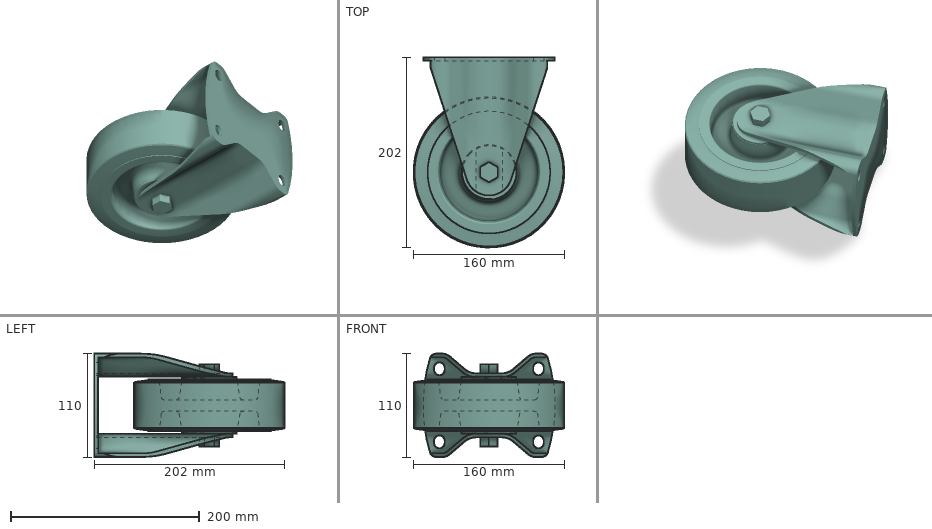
import cadquery as cq
import math

WHEEL_RADIUS = 80.0
TREAD_HALF_WIDTH = 23.7
TREAD_CHAMFER = 1.2
SHOULDER_HALF_WIDTH = 26.7
SHOULDER_LEDGE = 0.5
RIM_RADIUS = 65.0
RIM_HALF_WIDTH = 27.5
RECESS_RADIUS = 53.5
RECESS_LIP_ROUND = 2.0
WALL_FOOT_RADIUS = 51.5
FLOOR_RADIUS = 47.7
WEB_HALF_WIDTH = 6.0
HUB_RADIUS = 29.2
HUB_FOOT_RADIUS = 32.0
HUB_FLOOR_RADIUS = 36.0
HUB_EDGE_ROUND = 0.8

SHEET_THICKNESS = 4.0
FORK_HALF_HEIGHT = 55.0
VALLEY_OUTER_HEIGHT = 34.1
VALLEY_HALF_WIDTH = 14.0
VALLEY_BEND_RADIUS = 18.0
CREST_BEND_RADIUS = 13.0
BEND_ANGLE = math.radians(40.5)
ARM_HALF_WIDTH = 62.4
ARM_TIP_RADIUS = 24.7
ARM_TAPER_START = 112.0

PLATE_FACE = 122.0
PLATE_HALF_WIDTH = 70.0
PLATE_CORNER_HEIGHT = 50.4
PLATE_TOP_HALF_WIDTH = 55.2
SLOT_WIDTH = 11.0
SLOT_LENGTH = 13.5
SLOT_X = 52.5
SLOT_Z = 38.75

BOLT_ACROSS_FLATS = 18.6
BOLT_HALF_LENGTH = 43.7

HUB_HALF_LENGTH = VALLEY_OUTER_HEIGHT - SHEET_THICKNESS


def make_wheel_blank():
    """Tyre, rim and hub as one turned body, before the side recesses."""
    upper = [
        (0, HUB_HALF_LENGTH),
        (HUB_RADIUS, HUB_HALF_LENGTH),
        (HUB_RADIUS, RIM_HALF_WIDTH),
        (RIM_RADIUS, RIM_HALF_WIDTH),
        (RIM_RADIUS, SHOULDER_HALF_WIDTH),
        (RIM_RADIUS + SHOULDER_LEDGE, SHOULDER_HALF_WIDTH),
        (WHEEL_RADIUS - TREAD_CHAMFER, TREAD_HALF_WIDTH + TREAD_CHAMFER),
        (WHEEL_RADIUS, TREAD_HALF_WIDTH),
    ]
    lower = [(radius, -height) for radius, height in reversed(upper)]
    blank = cq.Workplane("XZ").polyline(upper + lower).close().revolve(360, (0, 0), (0, 1))
    return blank.faces("<Z or >Z").edges().fillet(HUB_EDGE_ROUND)


def make_side_recess():
    """Ring-shaped recess between rim and hub on the upper side of the wheel."""
    wall_fillet = WALL_FOOT_RADIUS - FLOOR_RADIUS
    hub_fillet = HUB_FLOOR_RADIUS - HUB_FOOT_RADIUS
    hub_wall_top = HUB_HALF_LENGTH - HUB_EDGE_ROUND
    return (
        cq.Workplane("XZ")
        .moveTo(HUB_RADIUS, hub_wall_top)
        .lineTo(RECESS_RADIUS + RECESS_LIP_ROUND, hub_wall_top)
        .lineTo(RECESS_RADIUS + RECESS_LIP_ROUND, RIM_HALF_WIDTH)
        .radiusArc((RECESS_RADIUS, RIM_HALF_WIDTH - RECESS_LIP_ROUND), -RECESS_LIP_ROUND)
        .lineTo(WALL_FOOT_RADIUS, WEB_HALF_WIDTH + wall_fillet)
        .radiusArc((FLOOR_RADIUS, WEB_HALF_WIDTH), wall_fillet)
        .lineTo(HUB_FLOOR_RADIUS, WEB_HALF_WIDTH)
        .radiusArc((HUB_FOOT_RADIUS, WEB_HALF_WIDTH + hub_fillet), hub_fillet)
        .close()
        .revolve(360, (0, 0), (0, 1))
    )


def make_wheel():
    """Wheel with the same recess on both sides."""
    recess = make_side_recess()
    return make_wheel_blank().cut(recess).cut(recess.mirror("XY"))


def make_bent_block(inset):
    """Solid between the upper and lower bent sheet faces, each moved inward by inset."""
    valley_radius = VALLEY_BEND_RADIUS + inset
    crest_radius = CREST_BEND_RADIUS - inset
    valley_z = VALLEY_OUTER_HEIGHT - inset
    crest_z = FORK_HALF_HEIGHT - inset
    sine = math.sin(BEND_ANGLE)
    bend_rise = 1 - math.cos(BEND_ANGLE)
    bend_rise_total = (valley_radius + crest_radius) * bend_rise
    flank_run = (crest_z - valley_z - bend_rise_total) / math.tan(BEND_ANGLE)

    valley_end_x = VALLEY_HALF_WIDTH + valley_radius * sine
    valley_end_z = valley_z + valley_radius * bend_rise
    crest_start_x = valley_end_x + flank_run
    crest_start_z = crest_z - crest_radius * bend_rise
    crest_end_x = crest_start_x + crest_radius * sine

    quarter = (
        cq.Workplane("XZ", origin=(0, PLATE_FACE, 0))
        .lineTo(0, valley_z)
        .lineTo(VALLEY_HALF_WIDTH, valley_z)
        .radiusArc((valley_end_x, valley_end_z), -valley_radius)
        .lineTo(crest_start_x, crest_start_z)
        .radiusArc((crest_end_x, crest_z), crest_radius)
        .lineTo(PLATE_HALF_WIDTH, crest_z)
        .lineTo(PLATE_HALF_WIDTH, 0)
        .close()
        .extrude(PLATE_FACE + ARM_TIP_RADIUS)
    )
    half = quarter.union(quarter.mirror("YZ"))
    return half.union(half.mirror("XY"))


def make_end_outline():
    """Prism along Y with bulging sides and rounded corners that bounds plate and fork."""
    top = FORK_HALF_HEIGHT
    drop = top - PLATE_CORNER_HEIGHT
    run = ARM_HALF_WIDTH - PLATE_TOP_HALF_WIDTH
    corner_radius = (run**2 + drop**2) / (2 * drop)
    return (
        cq.Workplane("XZ", origin=(0, PLATE_FACE, 0))
        .moveTo(-PLATE_TOP_HALF_WIDTH, top)
        .lineTo(PLATE_TOP_HALF_WIDTH, top)
        .radiusArc((ARM_HALF_WIDTH, PLATE_CORNER_HEIGHT), corner_radius)
        .threePointArc((PLATE_HALF_WIDTH, 0), (ARM_HALF_WIDTH, -PLATE_CORNER_HEIGHT))
        .radiusArc((PLATE_TOP_HALF_WIDTH, -top), corner_radius)
        .lineTo(-PLATE_TOP_HALF_WIDTH, -top)
        .radiusArc((-ARM_HALF_WIDTH, -PLATE_CORNER_HEIGHT), corner_radius)
        .threePointArc((-PLATE_HALF_WIDTH, 0), (-ARM_HALF_WIDTH, PLATE_CORNER_HEIGHT))
        .radiusArc((-PLATE_TOP_HALF_WIDTH, top), corner_radius)
        .close()
        .extrude(PLATE_FACE + ARM_TIP_RADIUS)
    )


def make_arm_outline():
    """Prism along Z: parallel sides at the plate, then tapering tangent to the round tip."""
    corner_distance = math.hypot(ARM_HALF_WIDTH, ARM_TAPER_START)
    corner_angle = math.atan2(ARM_TAPER_START, ARM_HALF_WIDTH)
    tangent_angle = corner_angle - math.acos(ARM_TIP_RADIUS / corner_distance)
    tangent_x = ARM_TIP_RADIUS * math.cos(tangent_angle)
    tangent_y = ARM_TIP_RADIUS * math.sin(tangent_angle)
    return (
        cq.Workplane("XY", origin=(0, 0, -FORK_HALF_HEIGHT))
        .moveTo(-ARM_HALF_WIDTH, PLATE_FACE)
        .lineTo(ARM_HALF_WIDTH, PLATE_FACE)
        .lineTo(ARM_HALF_WIDTH, ARM_TAPER_START)
        .lineTo(tangent_x, tangent_y)
        .threePointArc((0, -ARM_TIP_RADIUS), (-tangent_x, tangent_y))
        .lineTo(-ARM_HALF_WIDTH, ARM_TAPER_START)
        .close()
        .extrude(2 * FORK_HALF_HEIGHT)
    )


def make_bracket():
    """Slotted mounting plate with the two bent arms."""
    body = make_bent_block(0).intersect(make_end_outline())
    sheets = body.cut(make_bent_block(SHEET_THICKNESS))
    arms = sheets.intersect(make_arm_outline())

    plate_slab = (
        cq.Workplane("XZ", origin=(0, PLATE_FACE, 0))
        .rect(2 * PLATE_HALF_WIDTH, 2 * FORK_HALF_HEIGHT)
        .extrude(SHEET_THICKNESS)
    )
    slots = (
        cq.Workplane("XZ", origin=(0, PLATE_FACE, 0))
        .rect(2 * SLOT_X, 2 * SLOT_Z, forConstruction=True)
        .vertices()
        .slot2D(SLOT_LENGTH, SLOT_WIDTH, 90)
        .extrude(SHEET_THICKNESS)
    )
    plate = body.intersect(plate_slab).cut(slots)
    return plate.union(arms)


def make_bolt():
    """Hexagonal ends above and below the arms, corners pointing along Y."""
    across_corners = BOLT_ACROSS_FLATS / math.cos(math.pi / 6)
    return (
        cq.Workplane("XY", origin=(0, 0, -BOLT_HALF_LENGTH))
        .transformed(rotate=(0, 0, 90))
        .polygon(6, across_corners)
        .extrude(2 * BOLT_HALF_LENGTH)
    )


result = make_wheel().union(make_bracket()).union(make_bolt())